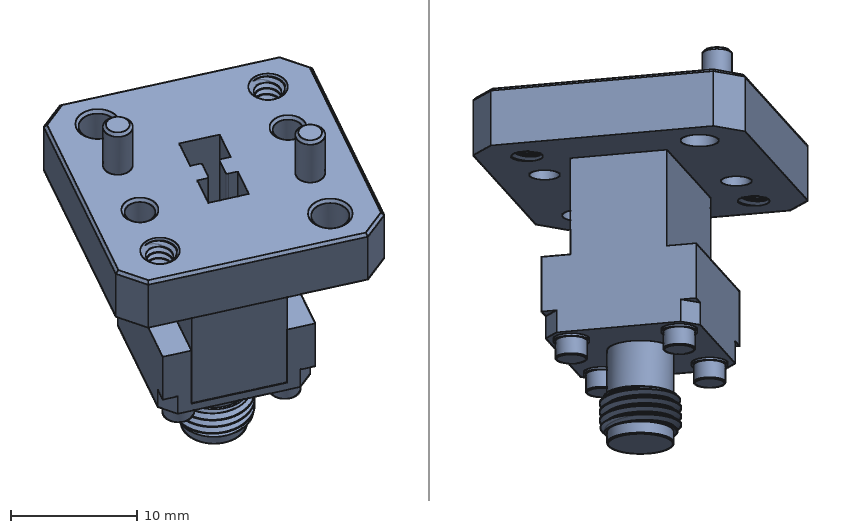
import cadquery as cq
import math


flange_side = 22.4
flange_thickness = 4.82
flange_corner = 2.05
flange_edge_bevel = 0.25

pattern_y = 7.1
outer_x = 7.92
inner_x = 2.82
clearance_diameter = 3.05
clearance_mouth_diameter = 3.55
pin_hole_diameter = 2.45
pin_hole_mouth_diameter = 2.95

tap_minor_diameter = 2.13
tap_major_diameter = 2.85
tap_mouth_diameter = 3.13
tap_pitch = 0.63
tap_crest_flat = 0.1
tap_top_z = 0.15

pin_diameter = 2.38
pin_height = 4.3
pin_bevel = 0.25

guide_width = 7.42
guide_height = 3.38
ridge_width = 1.8
ridge_gap = 1.45
ridge_corner_radius = 0.15

body_side = 12.75
neck_depth_y = 7.95
neck_bottom_z = -12.83
block_bottom_z = -17.4

label_thickness = 0.1
label_top_z = -5.65
label_height = 12.75

plate_bottom_z = -19.25
plate_corner = 1.25
screw_offset = 4.45
washer_diameter = 2.88
washer_thickness = 0.2
screw_head_diameter = 2.55
screw_head_bottom_z = -20.95
screw_head_bevel = 0.1

barrel_diameter = 5.32
barrel_bottom_z = -27.0
barrel_bevel = 0.1
thread_top_z = -23.07
thread_bottom_z = -26.0
thread_major_diameter = 6.48
thread_root_diameter = 5.5
thread_pitch = 0.705
thread_crest_flat = 0.1
thread_end_bevel = 0.38
thread_blank_margin = 0.47
thread_crest_drop = 0.78

ridge_sink = 0.05
ridge_base_share = 0.98

drill_overrun = 0.05


def cylinder(diameter, bottom_z, top_z):
    """Upright cylinder on the Z axis."""
    return cq.Workplane("XY", origin=(0, 0, bottom_z)).circle(diameter / 2).extrude(top_z - bottom_z)


def upright_block(size_x, size_y, bottom_z, top_z):
    """Upright box centred on the Z axis."""
    return cq.Workplane("XY", origin=(0, 0, bottom_z)).rect(size_x, size_y).extrude(top_z - bottom_z)


def helical_ridge(root_diameter, crest_diameter, pitch, crest_flat, start_z, turns):
    """Right-hand thread ridge, its crest starting on the +X side at start_z, sunk into its core."""
    base_radius = root_diameter / 2 - ridge_sink
    crest_radius = crest_diameter / 2
    base_half = pitch * ridge_base_share / 2
    crest_half = crest_flat / 2
    helix = cq.Wire.makeHelix(pitch, pitch * turns, root_diameter / 2).translate(cq.Vector(0, 0, start_z))
    profile = cq.Workplane("XZ").polyline([
        (base_radius, start_z - base_half),
        (crest_radius, start_z - crest_half),
        (crest_radius, start_z + crest_half),
        (base_radius, start_z + base_half),
    ]).close()
    return profile.sweep(cq.Workplane(helix), isFrenet=True)


def countersunk_cutter(diameter, mouth_diameter):
    """Drill through the flange with a 45 degree countersink at the mating face."""
    drill = cylinder(diameter, -flange_thickness - drill_overrun, 0)
    countersink_depth = (mouth_diameter - diameter) / 2
    cone = cq.Workplane("XY").circle(mouth_diameter / 2).extrude(-countersink_depth, taper=45)
    return drill.union(cone)


def thread_cutter():
    """Drill with a thread ridge that runs out past both faces of the flange."""
    turns = math.ceil(flange_thickness / tap_pitch) + 1
    start_z = tap_top_z - turns * tap_pitch
    drill = cylinder(tap_minor_diameter, start_z - tap_pitch, start_z + (turns + 1) * tap_pitch)
    ridge = helical_ridge(
        tap_minor_diameter, tap_major_diameter, tap_pitch, tap_crest_flat, start_z, turns)
    return drill.union(ridge)


def make_flange():
    """Bevelled square flange with its clearance, pin and tapped holes."""
    flange = upright_block(flange_side, flange_side, -flange_thickness, 0)
    flange = flange.edges("|Z").chamfer(flange_corner)
    flange = flange.faces(">Z").edges().chamfer(flange_edge_bevel)
    for side in (1, -1):
        row_y = side * pattern_y
        clearance = countersunk_cutter(clearance_diameter, clearance_mouth_diameter)
        pin_hole = countersunk_cutter(pin_hole_diameter, pin_hole_mouth_diameter)
        tap_drill = countersunk_cutter(tap_minor_diameter, tap_mouth_diameter)
        tapped_place = (-side * outer_x, row_y, 0)
        flange = flange.cut(clearance.translate((side * outer_x, row_y, 0)))
        flange = flange.cut(pin_hole.translate((-side * inner_x, row_y, 0)))
        flange = flange.cut(tap_drill.translate(tapped_place))
        flange = flange.cut(thread_cutter().translate(tapped_place))
    return flange


def make_pins():
    """Two alignment pins at opposite corners of the inner hole pattern."""
    pin = cylinder(pin_diameter, -flange_thickness, pin_height).faces(">Z").chamfer(pin_bevel)
    first = pin.translate((inner_x, pattern_y, 0))
    second = pin.translate((-inner_x, -pattern_y, 0))
    return first.union(second)


def make_body():
    """Neck, square block, corner-cut mounting plate and side label pad."""
    neck = upright_block(body_side, neck_depth_y, neck_bottom_z, -flange_thickness)
    block = upright_block(body_side, body_side, block_bottom_z, neck_bottom_z)
    plate = upright_block(body_side, body_side, plate_bottom_z, block_bottom_z)
    plate = plate.edges("|Z").chamfer(plate_corner)
    label = upright_block(2 * label_thickness, neck_depth_y, label_top_z - label_height, label_top_z)
    label = label.translate((body_side / 2, 0, 0))
    return neck.union(block).union(plate).union(label)


def make_guide_cutter():
    """Rectangular channel through flange and neck, narrowed by two facing ridges."""
    ridge_height = (guide_height - ridge_gap) / 2
    channel = upright_block(guide_width, guide_height, neck_bottom_z, 0)
    for side in (1, -1):
        ridge = upright_block(ridge_width, ridge_height, neck_bottom_z, 0)
        ridge = ridge.translate((0, side * (guide_height - ridge_height) / 2, 0))
        tip_face = "<Y" if side > 0 else ">Y"
        ridge = ridge.faces(tip_face).edges("|Z").fillet(ridge_corner_radius)
        channel = channel.cut(ridge)
    return channel


def make_screw():
    """Screw head on a washer under the mounting plate, centred on the Z axis."""
    washer = cylinder(washer_diameter, plate_bottom_z - washer_thickness, plate_bottom_z)
    head = cylinder(screw_head_diameter, screw_head_bottom_z, plate_bottom_z)
    return washer.union(head.faces("<Z").chamfer(screw_head_bevel))


def make_connector():
    """Coax barrel with an external thread."""
    barrel = cylinder(barrel_diameter, barrel_bottom_z, plate_bottom_z)
    barrel = barrel.faces("<Z").chamfer(barrel_bevel)
    turns = math.ceil((thread_top_z - thread_bottom_z) / thread_pitch) + 1
    start_z = thread_top_z - thread_crest_drop - (turns - 1) * thread_pitch
    ridge = helical_ridge(
        thread_root_diameter, thread_major_diameter, thread_pitch, thread_crest_flat, start_z, turns + 1)
    blank_diameter = thread_major_diameter + 2 * thread_blank_margin
    blank = cylinder(blank_diameter, thread_bottom_z, thread_top_z)
    blank = blank.faces("<Z or >Z").chamfer(thread_end_bevel + thread_blank_margin)
    thread = cylinder(thread_root_diameter, thread_bottom_z - thread_pitch, thread_top_z + thread_pitch)
    thread = thread.union(ridge).intersect(blank)
    return barrel.union(thread)


result = make_flange().union(make_pins()).union(make_body()).cut(make_guide_cutter())
for x in (screw_offset, -screw_offset):
    for y in (screw_offset, -screw_offset):
        result = result.union(make_screw().translate((x, y, 0)))
result = result.union(make_connector())